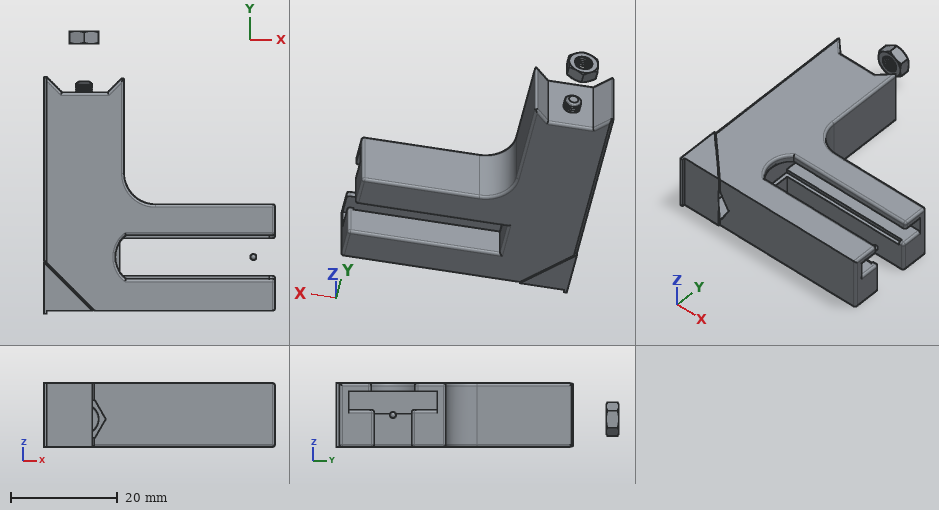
import cadquery as cq
import math

height = 12.0
body_length = 43.25
body_front = 0.6
edge_chamfer = 0.6
rim_radius = 0.55

upright_width = 15.0
inner_corner_radius = 5.8
notch_floor_y = 41.45
notch_left_x = 3.4
notch_right_x = 11.95
notch_tip_radius = 0.3
left_peak_y = notch_floor_y + notch_left_x
right_peak_y = notch_floor_y + upright_width - notch_right_x

fork_back = 20.5
slot_center_y = 10.6
lip_half_width = 4.05
lip_end_radius = 5.2
lip_end_x = 13.4
lip_bottom_z = 10.4
groove_half_width = 8.25
jaw_top_z = 7.0
jaw_half_width = 3.5
jaw_end_x = 14.2
rebate_floor_z = 6.25
rebate_half_width = 4.3
rebate_open_x = 42.15

cap_miter = 9.65
body_miter = 10.05
cap_lip_thickness = 0.6

bolt_x = 7.5
bolt_z = 5.25
thread_radius = 1.6
thread_pitch = 0.5
thread_depth = 0.25
threaded_length = 6.35
bolt_end_y = 43.45
tip_length = 0.25
tip_radius = 0.9
bolt_seat_y = 13.6
head_radius = 2.75
head_height = 3.0
head_fillet = 0.2
pocket_corner_radius = 4.05

nut_flats = 5.5
nut_thickness = 2.4
nut_end_y = 52.85
nut_chamfer_angle = 30
countersink_radius = 1.7

ball_radius = 0.6
ball_x = 39.15

tolerance = 0.025


def hexagon(corner_radius, first_angle):
    """Corner points of a regular hexagon centred on the origin."""
    angles = [math.radians(first_angle + 60 * i) for i in range(6)]
    return [(corner_radius * math.cos(a), corner_radius * math.sin(a)) for a in angles]


def bolt_plane(y):
    """Plane across the bolt line at the given Y, with its normal along +Y."""
    return cq.Plane(origin=(bolt_x, y, bolt_z), xDir=(1, 0, 0), normal=(0, 1, 0))


def revolve_on_bolt_line(profile, y):
    """Turn (radius, distance) points about the bolt line, distances running along +Y from y."""
    half = cq.Workplane(cq.Plane(origin=(bolt_x, y, bolt_z), xDir=(1, 0, 0), normal=(0, 0, 1)))
    return half.polyline(profile).close().revolve(360, (0, 0, 0), (0, 1, 0))


def threaded_rod(y, length):
    """Rod whose thread is a row of ring-shaped V teeth."""
    root_radius = thread_radius - thread_depth
    tooth_count = round(length / thread_pitch)
    pitch = length / tooth_count
    profile = [(0, 0), (root_radius, 0)]
    for i in range(tooth_count):
        profile += [(thread_radius, (i + 0.5) * pitch), (root_radius, (i + 1) * pitch)]
    profile.append((0, length))
    return revolve_on_bolt_line(profile, y)


def body_blank():
    """Sharp-edged L-shaped prism."""
    return (
        cq.Workplane()
        .moveTo(body_miter - body_front, body_front)
        .lineTo(body_length, body_front)
        .lineTo(body_length, fork_back)
        .lineTo(upright_width + inner_corner_radius, fork_back)
        .radiusArc((upright_width, fork_back + inner_corner_radius), inner_corner_radius)
        .lineTo(upright_width, right_peak_y)
        .lineTo(notch_right_x, notch_floor_y)
        .lineTo(notch_left_x, notch_floor_y)
        .lineTo(0, left_peak_y)
        .lineTo(0, body_miter)
        .close()
        .extrude(height)
    )


def slot(bottom_z, top_z, half_width, blind_x, open_x=body_length, end_radius=None):
    """Slot along X centred in the fork, with a straight or round blind end."""
    low = slot_center_y - half_width
    high = slot_center_y + half_width
    if end_radius is None:
        corner_x = blind_x
    else:
        corner_x = blind_x + end_radius - math.sqrt(end_radius**2 - half_width**2)
    outline = (
        cq.Workplane("XY", origin=(0, 0, bottom_z))
        .moveTo(corner_x, low)
        .lineTo(open_x, low)
        .lineTo(open_x, high)
        .lineTo(corner_x, high)
    )
    if end_radius is not None:
        outline = outline.threePointArc((blind_x, slot_center_y), (corner_x, low))
    return outline.close().extrude(top_z - bottom_z)


def round_rims(body):
    """Chamfer the X = 0 rims; round the other rims and the fork's end corners."""
    body = body.faces("<X").edges("|Y").chamfer(edge_chamfer)
    end_corners = body.faces(">X").edges("|Z").vals()
    body = body.val().fillet(rim_radius, [e for e in end_corners if not on_front(e)])
    rim = cq.Workplane(body).faces("<Z or >Z").edges().vals()
    rounded = [e for e in rim if not stays_sharp(e)]
    rounded += cq.Workplane(body).faces(">X").edges("|Z").edges("<Y").vals()
    return cq.Workplane(body.fillet(rim_radius, rounded))


def on_front(edge):
    return abs(edge.Center().y - body_front) < tolerance


def stays_sharp(edge):
    """True for the mitre, the chamfered X = 0 rims and the upper edge of the long front face."""
    center = edge.Center()
    on_miter = abs(center.x + center.y - body_miter) < tolerance
    on_outer_rim = center.x < edge_chamfer + tolerance
    on_top_front = on_front(edge) and center.z > height / 2
    return on_miter or on_outer_rim or on_top_front


def round_groove_mouth(body):
    """Round the end edges of the jaws where the groove runs out of the fork."""
    end_edges = body.faces(">X").edges("|Y").vals()
    jaw_edges = [e for e in end_edges if abs(e.Center().z - jaw_top_z) < tolerance]
    return cq.Workplane(body.val().fillet(rim_radius, jaw_edges))


def tip_trimmer(peak_x, peak_y, inward):
    """Sliver that rounds a 45 degree notch tip; inward is the X direction into the arm."""
    half_angle = math.radians(45 / 2)
    tangent_run = notch_tip_radius / math.tan(half_angle)
    slant_run = tangent_run / math.sqrt(2)
    sliver = cq.Workplane().polyline([
        (peak_x, peak_y),
        (peak_x, peak_y - tangent_run),
        (peak_x + inward * slant_run, peak_y - slant_run),
    ])
    round_tip = cq.Workplane().center(peak_x + inward * notch_tip_radius, peak_y - tangent_run)
    return sliver.close().extrude(height).cut(round_tip.circle(notch_tip_radius).extrude(height))


def cut_bolt_passage(body):
    """Hexagonal pocket from the mitre to the bolt head seat, then a plain hole to the notch."""
    pocket = cq.Workplane(bolt_plane(0)).polyline(hexagon(pocket_corner_radius, 0)).close()
    hole = cq.Workplane(bolt_plane(bolt_seat_y)).circle(thread_radius)
    return body.cut(pocket.extrude(bolt_seat_y)).cut(hole.extrude(notch_floor_y))


def make_body():
    body = body_blank()
    body = body.cut(slot(0, jaw_top_z, jaw_half_width, jaw_end_x))
    body = body.cut(slot(jaw_top_z, height, lip_half_width, lip_end_x, end_radius=lip_end_radius))
    body = round_rims(body)
    body = body.cut(slot(jaw_top_z, lip_bottom_z, groove_half_width, lip_end_x))
    body = round_groove_mouth(body)
    body = body.cut(slot(rebate_floor_z, jaw_top_z, rebate_half_width, lip_end_x, rebate_open_x))
    body = body.cut(tip_trimmer(0, left_peak_y, 1))
    body = body.cut(tip_trimmer(upright_width, right_peak_y, -1))
    return cut_bolt_passage(body)


def make_cap():
    wedge = (
        cq.Workplane()
        .polyline([
            (0, 0),
            (cap_lip_thickness, 0),
            (cap_lip_thickness, body_front),
            (cap_miter - body_front, body_front),
            (0, cap_miter),
        ])
        .close()
    )
    return wedge.extrude(height)


def make_bolt():
    head = cq.Workplane(bolt_plane(bolt_seat_y - head_height)).circle(head_radius).extrude(head_height)
    head = head.faces("<Y").edges().fillet(head_fillet)
    thread_start_y = bolt_end_y - tip_length - threaded_length
    shank = cq.Workplane(bolt_plane(bolt_seat_y)).circle(thread_radius).extrude(thread_start_y - bolt_seat_y)
    root_radius = thread_radius - thread_depth
    tip_start_y = bolt_end_y - tip_length
    tip = revolve_on_bolt_line([(0, 0), (root_radius, 0), (tip_radius, tip_length), (0, tip_length)], tip_start_y)
    return head.union(shank).union(threaded_rod(thread_start_y, threaded_length)).union(tip)


def make_nut():
    corner_radius = nut_flats / math.sqrt(3)
    start_y = nut_end_y - nut_thickness
    nut = cq.Workplane(bolt_plane(start_y)).polyline(hexagon(corner_radius, 30)).close().extrude(nut_thickness)
    face_radius = nut_flats / 2
    bevel_run = corner_radius - face_radius
    bevel_drop = bevel_run * math.tan(math.radians(nut_chamfer_angle))
    envelope = revolve_on_bolt_line(
        [
            (0, 0),
            (face_radius, 0),
            (corner_radius, bevel_drop),
            (corner_radius, nut_thickness - bevel_drop),
            (face_radius, nut_thickness),
            (0, nut_thickness),
        ],
        start_y,
    )
    countersink_cones = revolve_on_bolt_line(
        [
            (0, 0),
            (countersink_radius, 0),
            (0, countersink_radius),
            (0, nut_thickness - countersink_radius),
            (countersink_radius, nut_thickness),
            (0, nut_thickness),
        ],
        start_y,
    )
    return nut.intersect(envelope).cut(threaded_rod(start_y, nut_thickness)).cut(countersink_cones)


def make_ball():
    return cq.Workplane(origin=(ball_x, slot_center_y, height / 2)).sphere(ball_radius)


body = make_body()
cap = make_cap()
bolt = make_bolt()
nut = make_nut()
ball = make_ball()

result = cq.Compound.makeCompound([body.val(), cap.val(), bolt.val(), nut.val(), ball.val()])